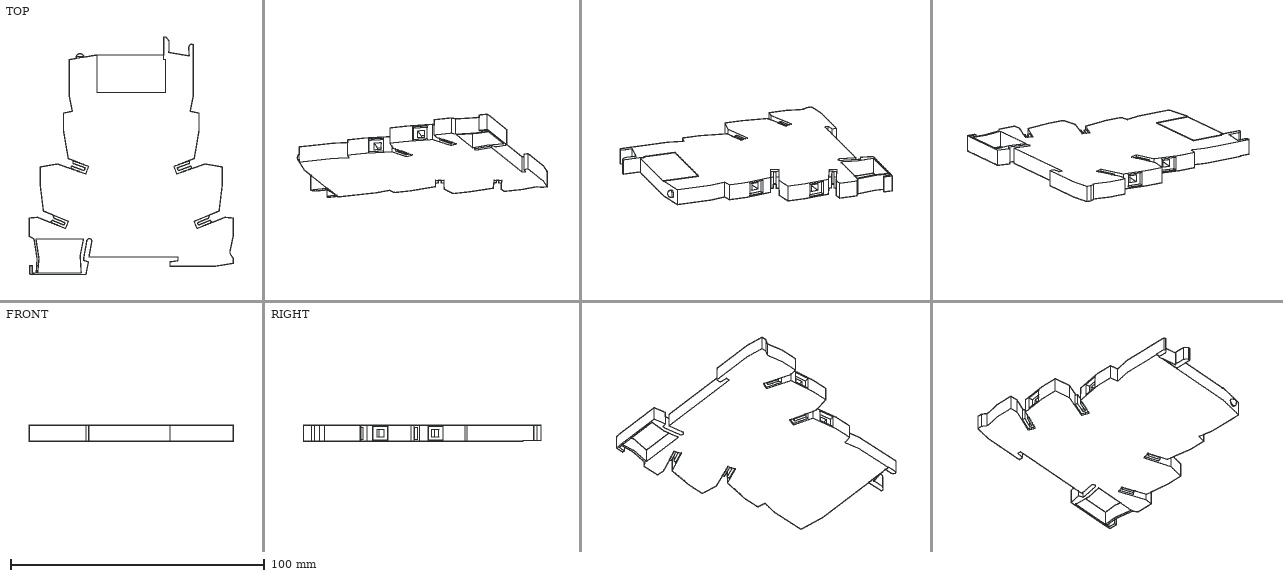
import cadquery as cq
import math


thickness = 6.35
mid_z = thickness / 2

head_half_width = 24.55
head_top_y = 86.65
head_shoulder_y = 84.85
bevel_end_x = -13.8
head_side_end_y = 70.6
neck_half_width = 23.3
neck_y = 64.45

latch_offset_z = 0.25
tall_prong_x = 12.75
latch_top_y = 93.75
tall_prong_tip_x = 13.7
tall_prong_outer_x = 14.95
tall_prong_bevel_y = 92.2
tall_prong_root_y = 88.3
latch_floor_left = (14.65, 87.7)
latch_floor_right = (22.8, 86.35)
short_prong_inner_x = 22.65
short_prong_spring_y = 89.3
short_prong_round_mid = (22.95, 90.4)
short_prong_tip = (23.8, 91.0)
short_prong_corner_y = 90.7

label_depth = 0.25
label_left_x = -13.5
label_right_x = 13.45
label_bottom_y = 71.8

upper_half_width = 26.75
upper_top_y = 63.75
upper_side_end_y = 56.6
upper_tip = (24.9, 45.75)

middle_half_width = 36.0
middle_side_top_y = 42.5
middle_peak = (29.1, 43.7)
middle_side_end_y = 35.6
middle_tip = (34.7, 25.05)

lower_half_width = 80.5 / 2
lower_side_top_y = 22.35
lower_peak = (37.0, 22.65)
lower_side_end_y = 15.1

upper_slot = {"corners": [(16.85, 42.7), (17.95, 39.7)], "upper_slant": 0.4, "lower_slant": 0.0}
lower_slot = {"corners": [(24.8, 21.0), (25.95, 18.2)], "upper_slant": 0.9, "lower_slant": 0.3}
liner_wall = 1.05
liner_upper_length = 6.6
liner_lower_length = 6.35
liner_height = 4.75

upper_entry_y = 52.1
middle_entry_y = 30.25
upper_hole_shift = 0.4
middle_hole_shift = 0.1
entry_length = 6.0
entry_height = 5.25
entry_depth = 1.75
wire_hole_side = 2.8
wire_hole_depth = 8.5

rail_seat_y = 6.9
rail_seat_left_x = -16.75
foot_lip_y = 5.05
fixed_foot_y = 3.2
fixed_foot_x = 15.2
fixed_foot_hook_x = 18.4
fixed_foot_hook_y = 5.5
fixed_foot_bevel_x = 32.85
fixed_foot_bevel_y = 4.4
fixed_foot_corner_y = 6.4
side_notch_x = 39.05
side_notch_top_y = 9.4
side_notch_bottom_y = 8.3

latch_neck_top = (-18.7, 6.6)
latch_neck_bottom = (-18.75, 5.65)
foot_lip_x = -16.85
latch_foot_x = -17.85
foot_floor = 0.65
foot_window_top_y = 14.0
window_top_left_x = -37.55
window_top_right_x = -18.9
window_right_kink = (-20.2, 7.5)
window_bottom_right_x = -19.8
window_bottom_left_x = -36.9
strut_kink_y = 6.25
strut_inner_kink_x = -36.35
strut_outer_kink_x = -37.2
strut_outer_bottom_x = -37.55
strut_outer_top_x = -38.4
pull_tab_start_x = -37.8
pull_tab_x = -40.05
pull_tab_inner_x = -39.0
pull_tab_top_y = 3.55
pull_tab_rise = 0.15

release_slot_left_x = -17.5
release_slot_right_x = -15.6
release_slot_end_y = 13.2
release_slot_radius = (release_slot_right_x - release_slot_left_x) / 2

lamp_x = -20.2
lamp_radius = 1.55
lamp_base_y = 84.0
lamp_rim_y = 86.0
lamp_dome_height = 1.2


def mirrored(points):
    return [(-x, y) for x, y in points]


def tier_outline():
    """Right-hand stepped side, from the neck down to the side of the lower tier."""
    return [
        (head_half_width, head_side_end_y),
        (neck_half_width, neck_y),
        (upper_half_width, upper_top_y),
        (upper_half_width, upper_side_end_y),
        upper_tip,
        *upper_slot["corners"],
        middle_peak,
        (middle_half_width, middle_side_top_y),
        (middle_half_width, middle_side_end_y),
        middle_tip,
        *lower_slot["corners"],
        lower_peak,
        (lower_half_width, lower_side_top_y),
    ]


def make_body():
    right_foot = [
        (lower_half_width, lower_side_end_y),
        (side_notch_x, side_notch_top_y),
        (side_notch_x, side_notch_bottom_y),
        (lower_half_width, fixed_foot_corner_y),
        (lower_half_width, fixed_foot_bevel_y),
        (fixed_foot_bevel_x, fixed_foot_y),
        (fixed_foot_x, fixed_foot_y),
        (fixed_foot_x, foot_lip_y),
        (fixed_foot_hook_x, fixed_foot_hook_y),
        (fixed_foot_hook_x, rail_seat_y),
        (rail_seat_left_x, rail_seat_y),
    ]
    left_foot = [
        latch_neck_top,
        latch_neck_bottom,
        (foot_lip_x, foot_lip_y),
        (latch_foot_x, 0),
        (pull_tab_start_x, 0),
        (pull_tab_x, pull_tab_rise),
        (pull_tab_x, pull_tab_top_y),
        (pull_tab_inner_x, pull_tab_top_y),
        (pull_tab_inner_x, foot_floor),
        (strut_outer_bottom_x, foot_floor),
        (strut_outer_kink_x, strut_kink_y),
        (strut_outer_top_x, foot_window_top_y),
        (-lower_half_width, lower_side_end_y),
    ]
    slot_right = (release_slot_right_x, release_slot_end_y)
    slot_left = (release_slot_left_x, release_slot_end_y)
    slot_crown = (release_slot_left_x + release_slot_radius, release_slot_end_y + release_slot_radius)
    left_side = list(reversed(mirrored(tier_outline())))
    outline = cq.Workplane("XY").moveTo(bevel_end_x, head_top_y)
    for point in [(head_half_width, head_top_y)] + tier_outline() + right_foot + [slot_right]:
        outline = outline.lineTo(*point)
    outline = outline.threePointArc(slot_crown, slot_left)
    for point in left_foot + left_side + [(-head_half_width, head_shoulder_y)]:
        outline = outline.lineTo(*point)
    return outline.close().extrude(thickness)


def make_foot_window():
    window = [
        (window_top_left_x, foot_window_top_y),
        (window_top_right_x, foot_window_top_y),
        window_right_kink,
        (window_bottom_right_x, foot_floor),
        (window_bottom_left_x, foot_floor),
        (strut_inner_kink_x, strut_kink_y),
    ]
    return cq.Workplane("XY").polyline(window).close().extrude(thickness)


def make_latch():
    """Two prongs joined by a sloping floor; overlaps the head down to its shoulder height."""
    latch = (
        cq.Workplane("XY", origin=(0, 0, latch_offset_z))
        .moveTo(tall_prong_x, head_shoulder_y)
        .lineTo(tall_prong_x, latch_top_y)
        .lineTo(tall_prong_tip_x, latch_top_y)
        .lineTo(tall_prong_outer_x, tall_prong_bevel_y)
        .lineTo(tall_prong_outer_x, tall_prong_root_y)
        .lineTo(*latch_floor_left)
        .lineTo(*latch_floor_right)
        .lineTo(short_prong_inner_x, short_prong_spring_y)
        .threePointArc(short_prong_round_mid, short_prong_tip)
        .lineTo(head_half_width, short_prong_corner_y)
        .lineTo(head_half_width, head_shoulder_y)
        .close()
    )
    return latch.extrude(thickness - latch_offset_z)


def make_latch_gap():
    """Removes the head material above the latch floor where it dips below the head top."""
    gap = [
        latch_floor_left,
        latch_floor_right,
        (short_prong_inner_x, latch_top_y),
        (latch_floor_left[0], latch_top_y),
    ]
    return cq.Workplane("XY").polyline(gap).close().extrude(thickness)


def make_label_recess():
    recess = [
        (label_left_x, label_bottom_y),
        (label_right_x, label_bottom_y),
        (label_right_x, head_shoulder_y),
        (tall_prong_x, head_shoulder_y),
        (tall_prong_x, head_top_y),
        (label_left_x, head_top_y),
    ]
    plane = cq.Workplane("XY", origin=(0, 0, thickness - label_depth))
    return plane.polyline(recess).close().extrude(label_depth)


def make_liner(slot):
    """U-shaped marker holder lining a right-hand slot, lower than the housing is thick."""
    (top_x, top_y), (bottom_x, bottom_y) = slot["corners"]
    width = math.hypot(top_x - bottom_x, top_y - bottom_y)
    across = cq.Vector(top_x - bottom_x, top_y - bottom_y, 0)
    outward = cq.Vector(across.y, -across.x, 0)
    plane = cq.Plane(
        origin=(bottom_x, bottom_y, mid_z - liner_height / 2),
        xDir=outward.toTuple(),
        normal=(0, 0, 1),
    )
    profile = [
        (0, 0),
        (liner_lower_length, 0),
        (liner_lower_length - slot["lower_slant"], liner_wall),
        (liner_wall, liner_wall),
        (liner_wall, width - liner_wall),
        (liner_upper_length - slot["upper_slant"], width - liner_wall),
        (liner_upper_length, width),
        (0, width),
    ]
    return cq.Workplane(plane).polyline(profile).close().extrude(liner_height)


def make_wire_entry(face_top, face_bottom, centre_y, hole_shift):
    """Stepped rectangular entry, square to the slanted right-hand face it opens through."""
    run = (face_top[0] - face_bottom[0]) / (face_top[1] - face_bottom[1])
    centre_x = face_bottom[0] + run * (centre_y - face_bottom[1])
    plane = cq.Plane(
        origin=(centre_x, centre_y, mid_z),
        xDir=(run, 1, 0),
        normal=(-1, run, 0),
    )
    recess = cq.Workplane(plane).rect(entry_length, entry_height).extrude(entry_depth)
    hole_outline = cq.Workplane(plane).center(-hole_shift, 0).rect(wire_hole_side, wire_hole_side)
    hole = hole_outline.extrude(wire_hole_depth)
    return recess.union(hole)


def make_lamp():
    """Round lamp with a domed end, standing along +Y on the head bevel."""
    profile = (
        cq.Workplane("XY", origin=(lamp_x, 0, mid_z))
        .moveTo(0, lamp_base_y)
        .lineTo(lamp_radius, lamp_base_y)
        .lineTo(lamp_radius, lamp_rim_y)
    )
    sphere_radius = (lamp_radius**2 + lamp_dome_height**2) / (2 * lamp_dome_height)
    dome_top_y = lamp_rim_y + lamp_dome_height
    half_angle = math.asin(lamp_radius / sphere_radius) / 2
    dome_mid = (
        sphere_radius * math.sin(half_angle),
        dome_top_y - sphere_radius * (1 - math.cos(half_angle)),
    )
    profile = profile.threePointArc(dome_mid, (0, dome_top_y)).close()
    return profile.revolve(360, (0, 0, 0), (0, 1, 0))


def on_both_sides(solid):
    return solid, solid.mirror("YZ")


result = make_body().cut(make_foot_window()).cut(make_latch_gap())
result = result.union(make_latch()).cut(make_label_recess()).union(make_lamp())

for slot in (upper_slot, lower_slot):
    for liner in on_both_sides(make_liner(slot)):
        result = result.union(liner)

wire_entries = (
    make_wire_entry((upper_half_width, upper_side_end_y), upper_tip, upper_entry_y, upper_hole_shift),
    make_wire_entry((middle_half_width, middle_side_end_y), middle_tip, middle_entry_y, middle_hole_shift),
)
for wire_entry in wire_entries:
    for pocket in on_both_sides(wire_entry):
        result = result.cut(pocket)